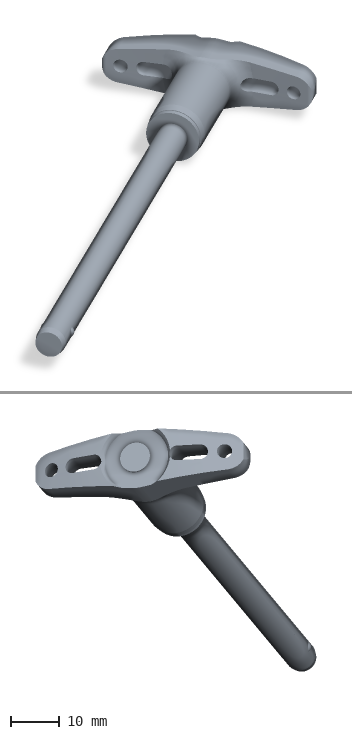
import cadquery as cq
import math


total_length = 118.6
pin_radius = 3.175
tip_radius = 2.85
tip_taper_length = 1.6
ball_radius = 1.25
ball_reach = 3.55
ball_to_end = 6.2

button_thickness = 0.4
button_neck_radius = 2.7

barrel_radius = 6.0
barrel_taper_y = -28.6
barrel_taper_radius = 5.8
collar_y = -30.5
collar_radius = 5.65
shoulder_y = -31.5

flare_radius = 4.2
flare_y = -10.9
rim_radius = barrel_radius + flare_radius
rim_y = flare_y + flare_radius

handle_length = 45.2
handle_height = 12.64
handle_tip_radius = 4.0
handle_waist_radius = 7.4

cut_top_y = 2.0
top_corner_y = -3.15
rim_cover = 0.05
bottom_corner_y = -7.7
end_slope = 0.14
end_full_length_y = -6.2
bottom_corner_fillet = 1.0

hole_radius = 1.5
hole_x = 18.5
slot_width = 3.2
slot_inner_x = 7.3
slot_outer_x = 15.2
dish_radius = 7.5
dish_floor_radius = 6.75
dish_depth = 1.15

overlap = 1.0


def revolve_about_pin(profile):
    """Revolve a closed XY profile one full turn about the Y axis."""
    return profile.close().revolve(360, (0, 0, 0), (0, 1, 0))


def handle_prism():
    """Rhombic outline with rounded waist and tips, extruded along the whole handle depth."""
    half_height = handle_height / 2
    tip_x = handle_length / 2 - handle_tip_radius
    waist_drop = handle_waist_radius - half_height
    centre_distance = math.hypot(tip_x, waist_drop)
    edge_angle = math.asin((handle_waist_radius - handle_tip_radius) / centre_distance)
    edge_angle -= math.atan2(waist_drop, tip_x)

    waist_x = handle_waist_radius * math.sin(edge_angle)
    waist_z = handle_waist_radius * math.cos(edge_angle) - waist_drop
    tangent_x = tip_x + handle_tip_radius * math.sin(edge_angle)
    tangent_z = handle_tip_radius * math.cos(edge_angle)
    end_x = handle_length / 2

    outline = (
        cq.Workplane("XZ", origin=(0, cut_top_y, 0))
        .moveTo(-waist_x, waist_z)
        .threePointArc((0, half_height), (waist_x, waist_z))
        .lineTo(tangent_x, tangent_z)
        .threePointArc((end_x, 0), (tangent_x, -tangent_z))
        .lineTo(waist_x, -waist_z)
        .threePointArc((0, -half_height), (-waist_x, -waist_z))
        .lineTo(-tangent_x, -tangent_z)
        .threePointArc((-end_x, 0), (-tangent_x, tangent_z))
        .close()
    )
    return outline.extrude(cut_top_y - flare_y)


def end_x_at(y):
    """Half length of the leaning handle ends at height y."""
    return handle_length / 2 - end_slope * (y - end_full_length_y)


def dome():
    """Sphere through the dish rim and the upper end corners; its +Y side is the handle top."""
    corner_x = end_x_at(top_corner_y)
    centre_y = (corner_x**2 + top_corner_y**2 - dish_radius**2) / (2 * top_corner_y)
    radius = math.hypot(dish_radius, centre_y)
    return cq.Workplane("XY").sphere(radius).translate((0, centre_y, 0))


def handle_bar():
    """Domed bar with leaning ends and rounded lower end corners."""
    top_x = end_x_at(cut_top_y)
    bottom_x = end_x_at(bottom_corner_y)
    bar = (
        cq.Workplane("XY")
        .moveTo(-top_x, cut_top_y)
        .lineTo(top_x, cut_top_y)
        .lineTo(bottom_x, bottom_corner_y)
        .threePointArc((rim_radius, rim_y - rim_cover), (-bottom_x, bottom_corner_y))
        .close()
        .extrude(handle_height, both=True)
    )
    bar = bar.edges("|Z").edges("<Y").fillet(bottom_corner_fillet)
    return bar.intersect(dome())


def flare():
    """Concave ring between the barrel and the handle underside."""
    inset = flare_radius * (1 - math.sqrt(0.5))
    return revolve_about_pin(
        cq.Workplane("XY")
        .moveTo(0, flare_y)
        .lineTo(barrel_radius, flare_y)
        .threePointArc((barrel_radius + inset, rim_y - inset), (rim_radius, rim_y))
        .lineTo(rim_radius, rim_y + overlap)
        .lineTo(0, rim_y + overlap)
    )


def dish():
    """Shallow recess with a sloping wall in the top of the handle."""
    wall_slope = (dish_radius - dish_floor_radius) / dish_depth
    return revolve_about_pin(
        cq.Workplane("XY")
        .moveTo(0, -dish_depth)
        .lineTo(dish_floor_radius, -dish_depth)
        .lineTo(dish_radius + wall_slope * overlap, overlap)
        .lineTo(0, overlap)
    )


def openings():
    """One round hole and one slot through each handle arm."""
    slot_length = slot_outer_x - slot_inner_x
    slot_x = (slot_outer_x + slot_inner_x) / 2
    start = cq.Workplane("XZ", origin=(0, cut_top_y, 0))
    depth = cut_top_y - flare_y
    holes = start.pushPoints([(-hole_x, 0), (hole_x, 0)]).circle(hole_radius).extrude(depth)
    slots = start.pushPoints([(-slot_x, 0), (slot_x, 0)]).slot2D(slot_length, slot_width).extrude(depth)
    return holes.union(slots)


def barrel_and_pin():
    """Release button, barrel, collar and pin as one turned body."""
    return revolve_about_pin(
        cq.Workplane("XY")
        .moveTo(0, 0)
        .lineTo(pin_radius, 0)
        .lineTo(pin_radius, -button_thickness)
        .lineTo(button_neck_radius, -button_thickness)
        .lineTo(button_neck_radius, flare_y)
        .lineTo(barrel_radius, flare_y)
        .lineTo(barrel_radius, barrel_taper_y)
        .lineTo(barrel_taper_radius, collar_y)
        .lineTo(collar_radius, collar_y)
        .lineTo(collar_radius, shoulder_y)
        .lineTo(pin_radius, shoulder_y)
        .lineTo(pin_radius, tip_taper_length - total_length)
        .lineTo(tip_radius, -total_length)
        .lineTo(0, -total_length)
    )


def locking_ball(side):
    """Ball that stands proud of the pin on the given X side (+1 or -1)."""
    centre = (side * (ball_reach - ball_radius), ball_to_end - total_length, 0)
    return cq.Workplane("XY").sphere(ball_radius).translate(centre)


handle = handle_bar().union(flare()).intersect(handle_prism())
handle = handle.cut(dish()).cut(openings())

result = handle.union(barrel_and_pin())
for ball_side in (-1, 1):
    result = result.union(locking_ball(ball_side))